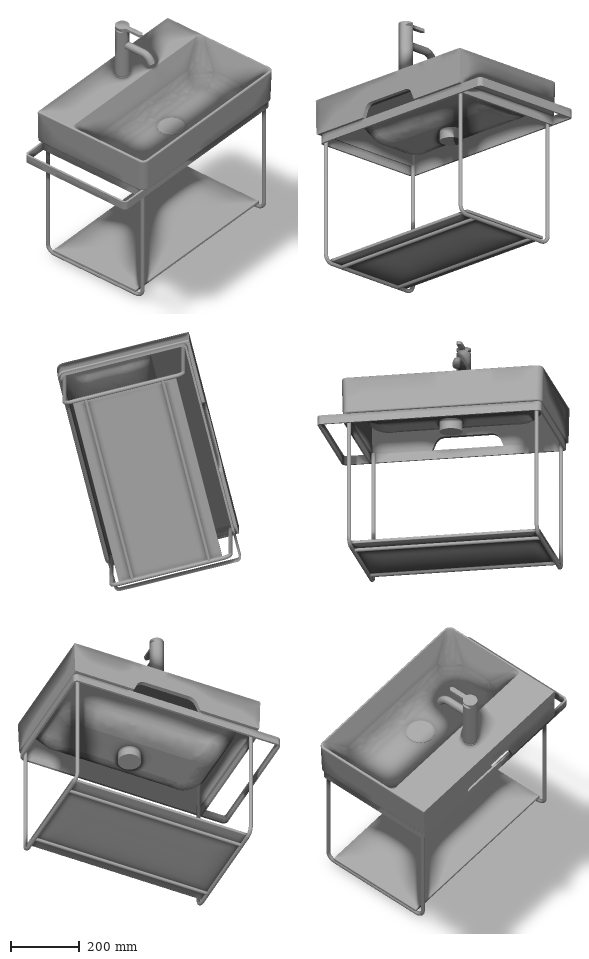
import cadquery as cq
import math


basin_depth = 400.0
basin_half_width = 299.0
basin_draft = 3.0
basin_top = 509.0
basin_bottom = 401.5
basin_corner_radius = 20.0
basin_edge_radius = 4.0
wall_thickness = 14.0
deck_thickness = 14.0

bowl_back = 123.5
bowl_front = 394.0
bowl_half_width = 292.0
bowl_rim_radius = 14.0
bowl_depth = 103.0
bowl_side_slope = 45.0
bowl_end_slope = 57.0
bowl_floor_corner_radius = 68.5
bowl_floor_blend = 62.0
bowl_shell = 6.0

notch_bottom_half = 106.5
notch_top_half = 89.0
notch_height = 40.5
notch_radius = 29.0

drain_cap_radius = 43.0
drain_cap_height = 4.0
drain_cap_bevel_drop = 3.0
drain_cap_bevel_width = 5.5
drain_tail_radius = 33.5
drain_tail_bottom = 370.0

rail_back = 9.5
rail_front = 390.0
rail_end = 293.0
rail_loop_end = -372.0
rail_thickness = 6.0
rail_bottom = 375.0
rail_corner_radius = 14.0

tube_radius = 5.8
tube_bend_radius = 25.0
frame_half_spacing = 278.5
cross_tube_radius = 5.15
cross_tube_half_spacing = 115.0

shelf_length = 310.0
shelf_half_width = 283.0
shelf_bottom = 13.0
shelf_thickness = 9.0
shelf_edge_radius = 2.0

tap_x = 73.0
tap_radius = 21.0
tap_body_top = 662.0
tap_foot_radius = 23.0
tap_foot_height = 2.4
spout_radius = 12.0
spout_height = 622.0
spout_bend_start = 151.0
spout_bend_radius = 31.5
spout_bend_angle = 58
spout_end_length = 7.0
nozzle_radius = 10.0
nozzle_length = 5.0

lever_top = 686.0
lever_collar_height = 10.0
lever_neck_height = 2.0
lever_neck_half_width = 14.5
lever_rim_height = 4.0
lever_bar_end = 147.5
lever_bar_width = 15.0
lever_bar_thickness = 9.0
lever_tip_chamfer = 5.5

basin_height = basin_top - basin_bottom
bowl_center_x = (bowl_back + bowl_front) / 2
bowl_floor = basin_top - bowl_depth
rail_center_x = (rail_back + rail_front) / 2
leg_half_spacing = rail_center_x - rail_back - rail_thickness - tube_radius
rail_height = basin_bottom - rail_bottom


def cylinder(x, radius, bottom, top):
    """Upright cylinder standing on the plane of symmetry."""
    return cq.Workplane("XY", origin=(x, 0, bottom)).circle(radius).extrude(top - bottom)


def basin_block(inset, bottom, top):
    """Drafted block with a flat back and rounded front corners; inset moves every side face inwards."""
    def section(z):
        lean = inset + basin_draft * (basin_top - z) / basin_height
        half_width = basin_half_width - lean
        front = basin_depth - lean
        corner = basin_corner_radius - inset
        cut = corner * (1 - math.sqrt(0.5))
        return (
            cq.Workplane("XY", origin=(0, 0, z))
            .moveTo(inset, -half_width)
            .lineTo(front - corner, -half_width)
            .threePointArc((front - cut, -half_width + cut), (front, -half_width + corner))
            .lineTo(front, half_width - corner)
            .threePointArc((front - cut, half_width - cut), (front - corner, half_width))
            .lineTo(inset, half_width)
            .close()
            .val()
        )

    return cq.Workplane(cq.Solid.makeLoft([section(bottom), section(top)], True))


def bowl_form(growth, floor_z):
    """Solid filling the bowl from rim to floor, with every wall moved outwards by the growth."""
    length = bowl_front - bowl_back + 2 * growth
    width = 2 * (bowl_half_width + growth)
    rim = cq.Sketch().rect(length, width).vertices().fillet(bowl_rim_radius + growth)
    floor = (
        cq.Sketch()
        .rect(length - 2 * bowl_side_slope, width - 2 * bowl_end_slope)
        .vertices()
        .fillet(bowl_floor_corner_radius + growth)
    )
    return (
        cq.Workplane("XY", origin=(bowl_center_x, 0, basin_top))
        .placeSketch(rim, floor.moved(cq.Location(cq.Vector(0, 0, floor_z - basin_top))))
        .loft(ruled=True)
        .faces("<Z")
        .edges()
        .fillet(bowl_floor_blend + growth)
    )


def back_notch():
    """Trapezoidal opening in the lower edge of the back wall, with rounded upper corners."""
    return (
        cq.Workplane("YZ")
        .moveTo(-notch_bottom_half, basin_bottom)
        .lineTo(notch_bottom_half, basin_bottom)
        .lineTo(notch_top_half, basin_bottom + notch_height)
        .lineTo(-notch_top_half, basin_bottom + notch_height)
        .close()
        .extrude(wall_thickness)
        .edges("|X and >Z")
        .fillet(notch_radius)
    )


def make_basin():
    """Ceramic basin: a deck and bowl within thin outer walls, open underneath."""
    outside = basin_block(0, basin_bottom, basin_top)
    outside = outside.faces(">Z or <Z").edges("not <X").fillet(basin_edge_radius)
    cavity = basin_block(wall_thickness, basin_bottom, basin_top - deck_thickness)
    cavity = cavity.cut(bowl_form(bowl_shell, basin_bottom))
    drain_hole = cylinder(bowl_center_x, drain_tail_radius, basin_bottom, basin_top)
    return (
        outside.cut(cavity)
        .cut(bowl_form(0, bowl_floor))
        .cut(back_notch())
        .cut(drain_hole)
    )


def make_drain():
    """Drain with a bevelled cap on the bowl floor and a tail through the bowl."""
    cap = cylinder(bowl_center_x, drain_cap_radius, bowl_floor, bowl_floor + drain_cap_height)
    cap = cap.faces(">Z").chamfer(drain_cap_bevel_drop, drain_cap_bevel_width)
    tail = cylinder(bowl_center_x, drain_tail_radius, drain_tail_bottom, bowl_floor)
    return cap.union(tail)


def make_rail():
    """Flat bar in a closed loop that carries the basin and reaches out as a towel rail, with a crossbar."""
    length = rail_front - rail_back
    width = rail_end - rail_loop_end
    center = (rail_center_x, (rail_end + rail_loop_end) / 2, rail_bottom)
    loop = cq.Workplane("XY", origin=center)
    outside = loop.rect(length, width).extrude(rail_height)
    outside = outside.edges("|Z").fillet(rail_corner_radius)
    inside = loop.rect(length - 2 * rail_thickness, width - 2 * rail_thickness).extrude(rail_height)
    inside = inside.edges("|Z").fillet(rail_corner_radius - rail_thickness)
    crossbar = (
        cq.Workplane("XY", origin=(rail_center_x, rail_thickness / 2 - rail_end, rail_bottom))
        .rect(length - rail_thickness, rail_thickness)
        .extrude(rail_height)
    )
    return outside.cut(inside).union(crossbar)


def make_leg_frame(y):
    """U-shaped tube: two legs joined by a run along the floor."""
    bend_cut = tube_bend_radius * (1 - math.sqrt(0.5))
    left = rail_center_x - leg_half_spacing
    right = rail_center_x + leg_half_spacing
    low = tube_radius
    path = (
        cq.Workplane("XZ", origin=(0, y, 0))
        .moveTo(left, basin_bottom)
        .lineTo(left, low + tube_bend_radius)
        .threePointArc((left + bend_cut, low + bend_cut), (left + tube_bend_radius, low))
        .lineTo(right - tube_bend_radius, low)
        .threePointArc((right - bend_cut, low + bend_cut), (right, low + tube_bend_radius))
        .lineTo(right, basin_bottom)
    )
    return cq.Workplane("XY", origin=(left, y, basin_bottom)).circle(tube_radius).sweep(path)


def make_cross_tube(x, leg_frames):
    """Tube between the two leg frames, its ends shaped to fit against them."""
    tube = (
        cq.Workplane("XZ", origin=(x, 0, tube_radius))
        .circle(cross_tube_radius)
        .extrude(frame_half_spacing, both=True)
    )
    for frame in leg_frames:
        tube = tube.cut(frame)
    return tube


def make_shelf():
    """Flat shelf above the cross tubes, with rounded edges."""
    return (
        cq.Workplane("XY", origin=(rail_center_x, 0, shelf_bottom))
        .rect(shelf_length, 2 * shelf_half_width)
        .extrude(shelf_thickness)
        .faces(">Z or <Z")
        .edges()
        .fillet(shelf_edge_radius)
    )


def make_spout():
    """Round spout that leaves the tap level, bends down and ends in a narrower nozzle."""
    angle = math.radians(spout_bend_angle)

    def bend_point(turn):
        return (
            spout_bend_start + spout_bend_radius * math.sin(turn),
            spout_height - spout_bend_radius * (1 - math.cos(turn)),
        )

    direction = (math.cos(angle), -math.sin(angle))
    bend_end = bend_point(angle)
    tip = tuple(p + spout_end_length * d for p, d in zip(bend_end, direction))
    path = (
        cq.Workplane("XZ")
        .moveTo(tap_x, spout_height)
        .lineTo(spout_bend_start, spout_height)
        .threePointArc(bend_point(angle / 2), bend_end)
        .lineTo(*tip)
    )
    spout = cq.Workplane("YZ", origin=(tap_x, 0, spout_height)).circle(spout_radius).sweep(path)
    tip_plane = cq.Plane(
        origin=(tip[0], 0, tip[1]), xDir=(0, 1, 0), normal=(direction[0], 0, direction[1])
    )
    nozzle = cq.Workplane(tip_plane).circle(nozzle_radius).extrude(nozzle_length)
    return spout.union(nozzle)


def make_tap():
    """Tap body: an upright column on a thin foot, with the spout."""
    column = cylinder(tap_x, tap_radius, basin_top, tap_body_top)
    foot = cylinder(tap_x, tap_foot_radius, basin_top, basin_top + tap_foot_height)
    return column.union(foot).union(make_spout())


def make_lever():
    """Lever on the tap: a round collar, a head scooped away on both sides and a flat bar."""
    collar_top = tap_body_top + lever_collar_height
    collar = cylinder(tap_x, tap_radius, tap_body_top, collar_top)
    half_profile = [
        (lever_neck_half_width, collar_top),
        (lever_neck_half_width, collar_top + lever_neck_height),
        (tap_radius, lever_top - lever_rim_height),
        (tap_radius, lever_top),
    ]
    mirrored = [(-y, z) for y, z in reversed(half_profile)]
    scooped = (
        cq.Workplane("YZ", origin=(tap_x, 0, 0))
        .polyline(half_profile + mirrored)
        .close()
        .extrude(tap_radius, both=True)
    )
    head = cylinder(tap_x, tap_radius, collar_top, lever_top).intersect(scooped)
    bar_length = lever_bar_end - tap_x
    bar = (
        cq.Workplane("XY", origin=(tap_x, 0, lever_top - lever_bar_thickness))
        .center(bar_length / 2, 0)
        .rect(bar_length, lever_bar_width)
        .extrude(lever_bar_thickness)
        .edges("|Z and >X")
        .chamfer(lever_tip_chamfer)
    )
    return collar.union(head).union(bar)


basin = make_basin()
drain = make_drain()
rail = make_rail()
leg_frames = [make_leg_frame(y) for y in (-frame_half_spacing, frame_half_spacing)]
cross_tubes = [
    make_cross_tube(rail_center_x + offset, leg_frames)
    for offset in (-cross_tube_half_spacing, cross_tube_half_spacing)
]
shelf = make_shelf()
tap = make_tap()
lever = make_lever()

result = cq.Compound.makeCompound(
    [
        basin.val(),
        drain.val(),
        rail.val(),
        *[frame.val() for frame in leg_frames],
        *[tube.val() for tube in cross_tubes],
        shelf.val(),
        tap.val(),
        lever.val(),
    ]
)